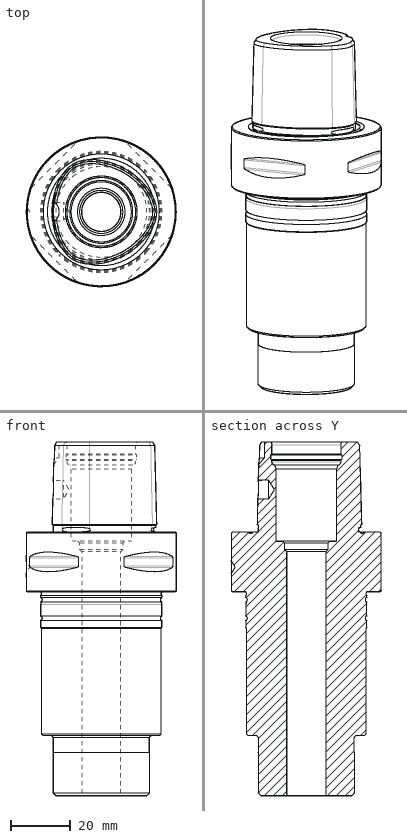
import cadquery as cq
import math

total_height = 118.0
flange_bottom = 68.0
flange_top = 88.0
body_bottom = 20.1
collar_bottom = 55.8
collar_lip_bottom = 63.8
collar_lip_top = 64.7
shank_bottom = 90.5

flange_diameter = 50.0
body_diameter = 40.0
collar_diameter = 40.5
nose_diameter = 32.2
nose_root_diameter = 32.1

nose_chamfer = 1.0
nose_root_bottom = 14.5
nose_root_flare = 0.6
body_chamfer = 0.6
collar_lip_inset = 0.2
flange_chamfer = 0.4

collar_grooves = [
    (67.4, 1.1, 0.2),
    (65.4, 1.4, 0.5),
    (59.2, 1.4, 0.5),
]

shank_mean_radius = 17.5
shank_lobe = 1.1
shank_taper = 1 / 40
crown_inset = 0.7
crown_height = 1.2
neck_inset = 0.4
shank_embedding = 1.2
lobe_count = 3
lobe_angle = 55
spans_per_face = 8

ring_outer_diameter = 38.7
ring_inner_diameter = 35.9
ring_depth = 0.5
relief_waist_diameter = 34.9
relief_height = 1.4

through_diameter = 13.0
pilot_diameter = 14.4
pilot_mouth_diameter = 15.8
pilot_depth = 3.5
bore_diameter = 20.1
bore_depth = 33.0
bore_mouth_diameter = 21.0
bore_mouth_top = 7.7
bore_mouth_bottom = 9.1
counterbore_diameter = 22.9
counterbore_mouth_diameter = 24.0
counterbore_mouth_depth = 1.0
ring_groove_diameter = 23.6
ring_groove_top = 4.0
ring_groove_bottom = 6.1

slot_count = 4
first_slot_angle = 45
slot_floor_distance = 22.2
slot_center_height = 78.0
slot_floor_width = 3.3
slot_half_angle = 30
slot_corner_radius = 0.6

shank_hole_diameter = 6.1
shank_hole_height = 102.1
shank_hole_depth = 3.5
flange_dimple_diameter = 4.0
flange_dimple_height = 76.2
drill_tip_angle = 118
notch_diameter = 8.0
notch_wall_distance = 14.0
notch_depth = 5.3
notch_tip_height = 4.7


def revolve(profile):
    return profile.close().revolve(360, (0, 0, 0), (0, 1, 0))


def make_body():
    nose = nose_diameter / 2
    nose_root = nose_root_diameter / 2
    body = body_diameter / 2
    collar = collar_diameter / 2
    flange = flange_diameter / 2
    profile = (
        cq.Workplane("XZ")
        .lineTo(nose - nose_chamfer, 0)
        .lineTo(nose, nose_chamfer)
        .lineTo(nose, nose_root_bottom)
        .lineTo(nose_root, nose_root_bottom)
        .lineTo(nose_root, body_bottom - nose_root_flare)
        .lineTo(nose_root + nose_root_flare, body_bottom)
        .lineTo(body - body_chamfer, body_bottom)
        .lineTo(body, body_bottom + body_chamfer)
        .lineTo(body, collar_bottom)
        .lineTo(collar, collar_bottom + collar - body)
        .lineTo(collar, collar_lip_bottom)
        .lineTo(collar - collar_lip_inset, collar_lip_top)
        .lineTo(collar, collar_lip_top)
        .lineTo(collar, flange_bottom)
        .lineTo(flange - flange_chamfer, flange_bottom)
        .lineTo(flange, flange_bottom + flange_chamfer)
        .lineTo(flange, flange_top - flange_chamfer)
        .lineTo(flange - flange_chamfer, flange_top)
        .lineTo(0, flange_top)
    )
    return revolve(profile)


def make_collar_groove(height, width, depth):
    radius = collar_diameter / 2
    profile = (
        cq.Workplane("XZ")
        .moveTo(radius, height - width / 2)
        .threePointArc((radius - depth, height), (radius, height + width / 2))
    )
    return revolve(profile)


def lobed_point(mean_radius, angle, height):
    """Point of the constant-width lobed curve where its outward normal has the given angle."""
    x = mean_radius * math.cos(angle) + shank_lobe * (2 * math.cos(2 * angle) - math.cos(4 * angle))
    y = mean_radius * math.sin(angle) - shank_lobe * (2 * math.sin(2 * angle) + math.sin(4 * angle))
    return cq.Vector(x, y, height)


def lobed_wire(mean_radius, height):
    """Closed lobed curve with one lobe on +X, split where lobes and flanks meet."""
    pitch = 360 / lobe_count
    faces = []
    for lobe in range(lobe_count):
        center = lobe * pitch
        faces.append((center - lobe_angle / 2, center + lobe_angle / 2))
        faces.append((center + lobe_angle / 2, center + pitch - lobe_angle / 2))
    edges = []
    for start, end in faces:
        step = (end - start) / spans_per_face
        angles = [math.radians(start + step * i) for i in range(spans_per_face + 1)]
        points = [lobed_point(mean_radius, angle, height) for angle in angles]
        ends = (angles[0], angles[-1])
        tangents = [cq.Vector(-math.sin(angle), math.cos(angle), 0) for angle in ends]
        edges.append(cq.Edge.makeSpline(points, tangents=tangents))
    return cq.Wire.assembleEdges(edges)


def lobed_loft(bottom_radius, bottom_height, top_radius, top_height):
    wires = [lobed_wire(bottom_radius, bottom_height), lobed_wire(top_radius, top_height)]
    return cq.Workplane(cq.Solid.makeLoft(wires, True))


def make_shank():
    neck_radius = shank_mean_radius - neck_inset
    neck_bottom = flange_top - shank_embedding
    flare_bottom = shank_bottom - neck_inset
    crown_bottom = total_height - crown_height
    crown_radius = shank_mean_radius - shank_taper * (crown_bottom - shank_bottom)
    neck = lobed_loft(neck_radius, neck_bottom, neck_radius, flare_bottom)
    flare = lobed_loft(neck_radius, flare_bottom, shank_mean_radius, shank_bottom)
    taper = lobed_loft(shank_mean_radius, shank_bottom, crown_radius, crown_bottom)
    crown = lobed_loft(crown_radius, crown_bottom, crown_radius - crown_inset, total_height)
    return neck.union(flare).union(taper).union(crown)


def make_flange_ring():
    outer = ring_outer_diameter / 2
    inner = ring_inner_diameter / 2
    profile = (
        cq.Workplane("XZ", origin=(0, 0, flange_top))
        .moveTo(inner, 0)
        .threePointArc(((inner + outer) / 2, -ring_depth), (outer, 0))
    )
    return revolve(profile)


def make_lobe_relief():
    """Concave ring cut that trims the foot of the lobes."""
    waist = relief_waist_diameter / 2
    rim = ring_inner_diameter / 2
    profile = (
        cq.Workplane("XZ", origin=(0, 0, flange_top))
        .moveTo(rim, 0)
        .threePointArc((waist, relief_height / 2), (rim, relief_height))
        .lineTo(flange_diameter / 2, relief_height)
        .lineTo(flange_diameter / 2, 0)
    )
    return revolve(profile)


def make_bores():
    through = through_diameter / 2
    pilot = pilot_diameter / 2
    pilot_mouth = pilot_mouth_diameter / 2
    bore = bore_diameter / 2
    bore_mouth = bore_mouth_diameter / 2
    counterbore = counterbore_diameter / 2
    mouth = counterbore_mouth_diameter / 2
    groove = ring_groove_diameter / 2
    bore_floor = total_height - bore_depth
    pilot_floor = bore_floor - pilot_depth
    seat = total_height - bore_mouth_top
    seat_fillet = counterbore - bore_mouth
    groove_floor = total_height - ring_groove_bottom
    groove_ceiling = total_height - ring_groove_top
    groove_slope = groove - counterbore
    mouth_round = mouth - counterbore
    arc_share = 1 - math.sqrt(0.5)
    profile = (
        cq.Workplane("XZ")
        .lineTo(through, 0)
        .lineTo(through, pilot_floor)
        .lineTo(pilot, pilot_floor + pilot - through)
        .lineTo(pilot, bore_floor - (pilot_mouth - pilot))
        .lineTo(pilot_mouth, bore_floor)
        .lineTo(bore, bore_floor)
        .lineTo(bore, total_height - bore_mouth_bottom)
        .lineTo(bore_mouth, seat)
        .threePointArc(
            (counterbore - arc_share * seat_fillet, seat + arc_share * seat_fillet),
            (counterbore, seat + seat_fillet),
        )
        .lineTo(counterbore, groove_floor)
        .lineTo(groove, groove_floor + groove_slope)
        .lineTo(groove, groove_ceiling - groove_slope)
        .lineTo(counterbore, groove_ceiling)
        .lineTo(counterbore, total_height - counterbore_mouth_depth)
        .threePointArc(
            (counterbore + mouth_round * arc_share, total_height - counterbore_mouth_depth * arc_share),
            (mouth, total_height),
        )
        .lineTo(0, total_height)
    )
    return revolve(profile)


def make_slot(angle):
    """Straight V-sided slot across the flange rim, with rounded floor corners."""
    rim = flange_diameter / 2
    floor_half = slot_floor_width / 2
    mouth_half = floor_half + (rim - slot_floor_distance) * math.tan(math.radians(slot_half_angle))
    return (
        cq.Workplane("XZ")
        .moveTo(slot_floor_distance, slot_center_height - floor_half)
        .lineTo(rim, slot_center_height - mouth_half)
        .lineTo(rim, slot_center_height + mouth_half)
        .lineTo(slot_floor_distance, slot_center_height + floor_half)
        .close()
        .extrude(rim, both=True)
        .edges("|Y and <X")
        .fillet(slot_corner_radius)
        .rotate((0, 0, 0), (0, 0, 1), angle)
    )


def make_drill_point(diameter, base_distance, height):
    """Conical drill point going in along +X, with its base at a distance on the -X side."""
    radius = diameter / 2
    depth = radius / math.tan(math.radians(drill_tip_angle / 2))
    base = cq.Vector(-base_distance, 0, height)
    return cq.Workplane(cq.Solid.makeCone(radius, 0, depth, base, cq.Vector(1, 0, 0)))


def make_shank_hole():
    """Blind drilled hole in the middle of the -X flank."""
    flank = shank_mean_radius - shank_lobe - shank_taper * (shank_hole_height - shank_bottom)
    bottom = flank - shank_hole_depth
    barrel = (
        cq.Workplane("YZ", origin=(-bottom, 0, shank_hole_height))
        .circle(shank_hole_diameter / 2)
        .extrude(-2 * shank_hole_depth)
    )
    return barrel.union(make_drill_point(shank_hole_diameter, bottom, shank_hole_height))


def make_notch():
    """Drill-shaped keyway open to the -X flank and the shank end."""
    radius = notch_diameter / 2
    base = cq.Vector(-notch_wall_distance - radius, 0, total_height - notch_depth)
    barrel = cq.Solid.makeCylinder(radius, notch_depth, base)
    point = cq.Solid.makeCone(radius, 0, notch_tip_height, base, cq.Vector(0, 0, -1))
    return cq.Workplane(barrel).union(cq.Workplane(point))


result = make_body()
for groove_height, groove_width, groove_depth in collar_grooves:
    result = result.cut(make_collar_groove(groove_height, groove_width, groove_depth))

result = result.cut(make_flange_ring()).union(make_shank()).cut(make_lobe_relief())
result = result.cut(make_bores())

for slot_index in range(slot_count):
    result = result.cut(make_slot(first_slot_angle + slot_index * 360 / slot_count))

result = result.cut(make_shank_hole())
result = result.cut(make_drill_point(flange_dimple_diameter, flange_diameter / 2, flange_dimple_height))
result = result.cut(make_notch())